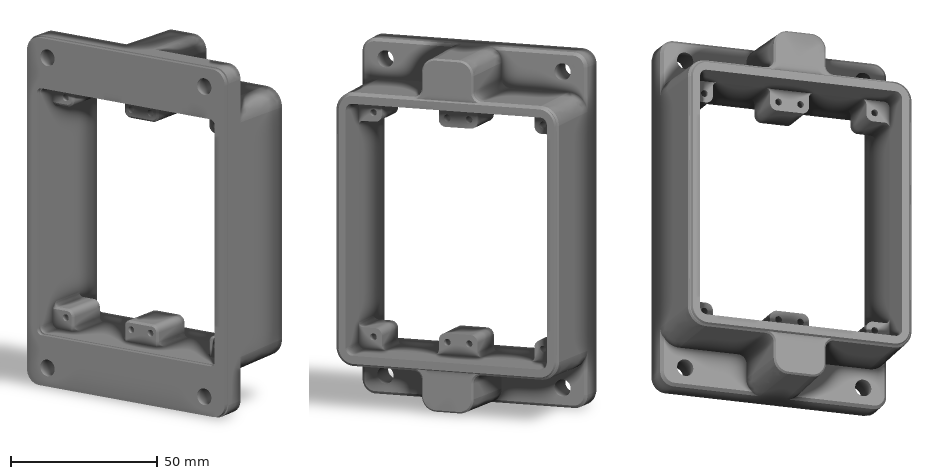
import cadquery as cq
import math

FLANGE_WIDTH = 82.8
FLANGE_HEIGHT = 124.0
FLANGE_CORNER = 5.0
FLANGE_CHAMFER = 1.0

GASKET_THICKNESS = 1.6
GASKET_MARGIN = 0.4
GASKET_CORNER = FLANGE_CORNER
GASKET_OPENING_MARGIN = 0.4

FLANGE_BACK = 10.1
BOSS_FRONT = 9.0
THROAT = 25.0
BODY_BACK = 35.4
LIP_BACK = 36.2

BODY_WIDTH = FLANGE_WIDTH
BODY_HEIGHT = 96.4
BODY_CORNER = 6.5
BODY_DRAFT = 1.0
BODY_BACK_CHAMFER = 0.6

TOWER_WIDTH = 20.8
TOWER_SIDE_DRAFT = 1.6
TOWER_CORNER = 5.2
TOWER_ROOT_FILLET = 3.0

LIP_WIDTH = 80.0
LIP_HEIGHT = 94.2
LIP_CORNER = 6.0
LIP_SLOPE = 30.0

OPENING_WIDTH = 72.9
OPENING_HEIGHT = 86.8
OPENING_CORNER = 2.0
FRONT_DRAFT = 0.3
BACK_DRAFT = 2.2

BOSS_HOLE_DIAMETER = 2.4
BOSS_HOLE_Z = 39.0
CENTRE_HOLE_X = 4.0
CORNER_HOLE_X = 31.1
BOSS_WALL = 3.1
BOSS_CORNER = 2.5
BOSS_ROOT_FILLET = 1.5
BOSS_CHAMFER = 0.7
BOSS_EMBED = 2.0

MOUNT_HOLE_DIAMETER = 5.9
MOUNT_HOLE_X = 32.5
MOUNT_HOLE_Z = 55.0

SIDES = (-1, 1)


def plane_at(y):
    """XZ plane at depth y whose normal points along +Y; local y is -Z."""
    return cq.Workplane(cq.Plane(origin=(0, y, 0), xDir=(1, 0, 0), normal=(0, 1, 0)))


def block(width, height, y_start, y_end):
    """Rectangular block centred on the Y axis."""
    return plane_at(y_start).rect(width, height).extrude(y_end - y_start)


def rounded_block(width, height, corner, y_start, y_end, draft=0.0):
    """Block with rounded corners; it narrows toward y_end for a positive draft."""
    outline = cq.Sketch().rect(width, height).vertices().fillet(corner)
    return plane_at(y_start).placeSketch(outline).extrude(y_end - y_start, taper=draft)


def mount_holes(y_start, y_end):
    points = [(sx * MOUNT_HOLE_X, sz * MOUNT_HOLE_Z) for sx in SIDES for sz in SIDES]
    return plane_at(y_start).pushPoints(points).circle(MOUNT_HOLE_DIAMETER / 2).extrude(y_end - y_start)


def make_gasket():
    width = FLANGE_WIDTH - 2 * GASKET_MARGIN
    height = FLANGE_HEIGHT - 2 * GASKET_MARGIN
    plate = rounded_block(width, height, GASKET_CORNER, 0, GASKET_THICKNESS)

    opening_width = OPENING_WIDTH + 2 * GASKET_OPENING_MARGIN
    opening_height = OPENING_HEIGHT + 2 * GASKET_OPENING_MARGIN
    opening = rounded_block(opening_width, opening_height, OPENING_CORNER, 0, GASKET_THICKNESS)
    return plate.cut(opening).cut(mount_holes(0, GASKET_THICKNESS))


def make_flange():
    flange = rounded_block(
        FLANGE_WIDTH, FLANGE_HEIGHT, FLANGE_CORNER, GASKET_THICKNESS, FLANGE_BACK, BODY_DRAFT
    )
    return flange.faces(">Y").chamfer(FLANGE_CHAMFER)


def body_section(y):
    """Corner points of the cross-shaped body outline at depth y."""
    depth = y - GASKET_THICKNESS
    shrink = depth * math.tan(math.radians(BODY_DRAFT))
    x = BODY_WIDTH / 2 - shrink
    z = BODY_HEIGHT / 2 - shrink
    tower_x = TOWER_WIDTH / 2 - depth * math.tan(math.radians(TOWER_SIDE_DRAFT))
    tower_z = FLANGE_HEIGHT / 2 - shrink
    right_top = [(x, z), (tower_x, z), (tower_x, tower_z)]
    top = right_top + [(-px, pz) for px, pz in reversed(right_top)]
    bottom = [(-px, -pz) for px, pz in top]
    return top + bottom


def fillet_long_edges(shape, radius, belongs):
    """Round the front-to-back edges whose centre passes the given test."""
    return shape.edges("not #Y").filter(lambda edge: belongs(edge.Center())).fillet(radius)


def make_body():
    front = plane_at(GASKET_THICKNESS).polyline(body_section(GASKET_THICKNESS)).close()
    back = front.workplane(offset=BODY_BACK - GASKET_THICKNESS).polyline(body_section(BODY_BACK)).close()
    body = back.loft(ruled=True, combine=True)

    root_x_limit = (TOWER_WIDTH + BODY_WIDTH) / 4
    root_z_limit = (BODY_HEIGHT + FLANGE_HEIGHT) / 4
    body = fillet_long_edges(
        body, TOWER_ROOT_FILLET, lambda c: abs(c.x) < root_x_limit and abs(c.z) < root_z_limit
    )
    body = fillet_long_edges(body, TOWER_CORNER, lambda c: abs(c.z) > root_z_limit)
    body = fillet_long_edges(body, BODY_CORNER, lambda c: abs(c.x) > root_x_limit)
    return body.faces(">Y").chamfer(BODY_BACK_CHAMFER)


def make_lip():
    return rounded_block(LIP_WIDTH, LIP_HEIGHT, LIP_CORNER, BODY_BACK, LIP_BACK, LIP_SLOPE)


def make_opening():
    """Cutter that widens both ways from the throat."""
    front = rounded_block(
        OPENING_WIDTH, OPENING_HEIGHT, OPENING_CORNER, THROAT, GASKET_THICKNESS, -FRONT_DRAFT
    )
    back = rounded_block(OPENING_WIDTH, OPENING_HEIGHT, OPENING_CORNER, THROAT, LIP_BACK, -BACK_DRAFT)
    return front.union(back)


def make_boss(x_min, x_max):
    """Boss on the top wall, with its free corners rounded and its front edges chamfered."""
    tip_z = BOSS_HOLE_Z - BOSS_WALL
    root_z = OPENING_HEIGHT / 2 + BOSS_EMBED
    width = x_max - x_min
    boss = block(width, root_z - tip_z, BOSS_FRONT, THROAT)
    boss = boss.translate(((x_min + x_max) / 2, 0, (tip_z + root_z) / 2))
    tip_edges = boss.faces("<Z").edges("|Y")
    boss = tip_edges.filter(lambda edge: abs(edge.Center().x) < OPENING_WIDTH / 2).fillet(BOSS_CORNER)
    return boss.faces("<Y").chamfer(BOSS_CHAMFER)


def make_bosses():
    """Centre boss and two corner bosses on the top wall, repeated on the bottom wall."""
    centre_edge = CENTRE_HOLE_X + BOSS_WALL
    right = make_boss(CORNER_HOLE_X - BOSS_WALL, OPENING_WIDTH / 2 + BOSS_EMBED)
    top = make_boss(-centre_edge, centre_edge).add(right).add(right.mirror("YZ")).combine()
    return top.add(top.mirror("XY")).combine()


def is_boss_root(edge):
    """True for a lengthwise edge where a boss meets a wall of the opening."""
    centre = edge.Center()
    tolerance = 0.5
    lengthwise = BOSS_FRONT + 2 * tolerance < centre.y < THROAT - 2 * tolerance
    side_positions = (CENTRE_HOLE_X + BOSS_WALL, CORNER_HOLE_X - BOSS_WALL)
    on_end_wall = abs(abs(centre.z) - OPENING_HEIGHT / 2) < tolerance and any(
        abs(abs(centre.x) - side) < tolerance for side in side_positions
    )
    on_side_wall = (
        abs(abs(centre.x) - OPENING_WIDTH / 2) < tolerance
        and abs(abs(centre.z) - BOSS_HOLE_Z + BOSS_WALL) < tolerance
    )
    return lengthwise and (on_end_wall or on_side_wall)


def boss_holes():
    hole_xs = (-CORNER_HOLE_X, -CENTRE_HOLE_X, CENTRE_HOLE_X, CORNER_HOLE_X)
    points = [(x, side * BOSS_HOLE_Z) for x in hole_xs for side in SIDES]
    return plane_at(BOSS_FRONT).pushPoints(points).circle(BOSS_HOLE_DIAMETER / 2).extrude(THROAT - BOSS_FRONT)


def make_housing():
    housing = make_flange().union(make_body()).union(make_lip()).cut(make_opening())
    housing = housing.union(make_bosses())
    housing = housing.edges().filter(is_boss_root).fillet(BOSS_ROOT_FILLET)
    return housing.cut(boss_holes()).cut(mount_holes(GASKET_THICKNESS, FLANGE_BACK))


housing = make_housing()
gasket = make_gasket()
result = cq.Compound.makeCompound([housing.val(), gasket.val()])